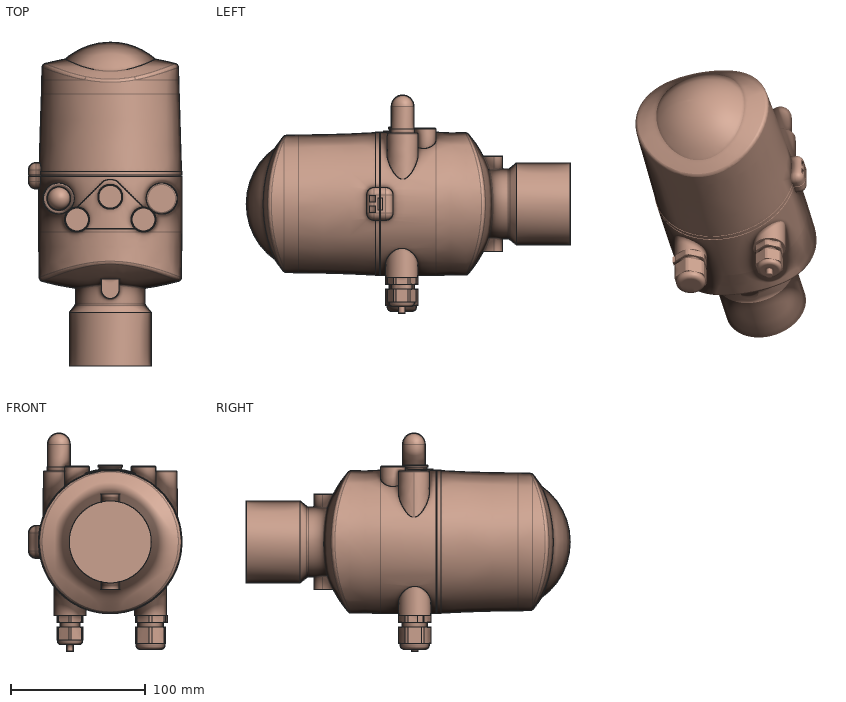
import cadquery as cq
import math


MARGIN = 1.0

OVERALL_WIDTH = 114.12
OVERALL_LENGTH = 240.8
OVERALL_HEIGHT = 162.2

SEAM_RADIUS = 53.35
REAR_SHELL_RADIUS = 53.0
REAR_BAND_RADIUS = 51.3
REAR_RIM_RADIUS = 51.0
REAR_END_RADIUS = 50.4
FRONT_END_RADIUS = 52.7
SEAM_COLLAR_Y = 3.3
REAR_BAND_Y = 60.6
REAR_RIM_Y = 71.3
FRONT_TAPER_Y = -41.7
SEAM_GROOVE_WIDTH = 0.8
SEAM_GROOVE_DEPTH = 0.5

FRONT_CROWN_Y = -85.3
REAR_CROWN_Y = 89.7
CROWN_RADIUS_YZ = 78.6
CROWN_RADIUS_XY = 190.0
CROWN_HALF_HEIGHT = 60.0
RIM_FILLET = 3.0

DOME_RADIUS = 51.0
DOME_APEX_Y = 99.3
DOME_ROOT_Y = 74.0
DOME_MIDDLE_ANGLE = math.radians(30)

NECK_DIAMETER = 52.0
PIPE_DIAMETER = 60.96
PIPE_START_Y = -101.5
CONE_LENGTH = 5.5
PIPE_END_Y = DOME_APEX_Y - OVERALL_LENGTH
NECK_FILLET = 2.0
NECK_ROOT_FILLET = 0.7
LUG_RADIUS = 6.5
LUG_CENTRE_Y = -84.7
LUG_ROOT_Y = -70.0
LUG_HALF_HEIGHT = 35.5

PORT_Y = -16.9
LARGE_PORT_X = 38.2
LARGE_PORT_TOP_RADIUS = 11.4
LARGE_PORT_BASE_RADIUS = 11.95
LARGE_PORT_BASE_Z = 15.0
LARGE_PORT_TOP_Z = 52.8
LARGE_PORT_ROUND = 1.0
SMALL_PORT_DIAMETER = 18.5
SMALL_PORT_X = 24.7
SMALL_PORT_Y = -32.5
SMALL_PORT_TOP_Z = 56.4
SMALL_PORT_BASE_Z = 35.0
SMALL_PORT_CHAMFER = 0.7
CENTRE_PORT_Y = -15.6
CENTRE_PORT_TOP_Z = 57.3
CENTRE_CAP_HEIGHT = 1.6
CENTRE_NECK_DIAMETER = 16.98

ANTENNA_DIAMETER = 17.0
ANTENNA_COLLAR_DIAMETER = 17.6
ANTENNA_COLLAR_TOP_Z = 55.7
ANTENNA_TOP_Z = 80.9

PLATE_RADIUS = SEAM_RADIUS + 1.0
PLATE_APEX_ROUND = 12.8
PLATE_CORNER_ROUND = 7.0
PLATE_EDGE_ROUND = 0.3

ENTRY_X = 29.9
ENTRY_Y = -16.3
ENTRY_DIAMETER = 24.0
ENTRY_ROOT_Z = -25.0
ENTRY_BOTTOM_Z = -54.7
LOCKNUT_BOTTOM_Z = -59.8
GLAND_NUT_TOP_Z = -63.3
CAP_STEP = 0.4

SMALL_GLAND_FLATS = 19.0
SMALL_GLAND_CORNERS = 21.0
SMALL_GLAND_NECK = 15.0
SMALL_GLAND_HEX_BOTTOM_Z = -73.0
SMALL_GLAND_BOTTOM_Z = -76.3
SMALL_GLAND_ROUND = 2.5
PIN_DIAMETER = 5.0
PIN_BOTTOM_Z = ANTENNA_TOP_Z - OVERALL_HEIGHT

LARGE_GLAND_FLATS = 22.2
LARGE_GLAND_CORNERS = 24.4
LARGE_GLAND_NECK = 19.0
LARGE_GLAND_HEX_BOTTOM_Z = -75.5
LARGE_GLAND_BOTTOM_Z = -80.0
LARGE_GLAND_ROUND = 3.5
LOCKNUT_TAB_END_X = 42.4
LOCKNUT_TAB_Y = ENTRY_Y + 4.0
LOCKNUT_TAB_WIDTH = 4.0

LATCH_OUTER_X = SEAM_RADIUS - OVERALL_WIDTH
LATCH_ROOT_X = -45.0
LATCH_WIDTH = 19.6
LATCH_HEIGHT = 24.4
LATCH_ROUND = 5.5
LATCH_POCKET_Y = 5.6
LATCH_POCKET_WIDTH = 4.4
LATCH_POCKET_HEIGHT = 5.0
LATCH_POCKET_Z = 3.9
LATCH_POCKET_DEPTH = 5.0
LATCH_WINDOW_Y = -0.3
LATCH_WINDOW_WIDTH = 3.4
LATCH_WINDOW_HEIGHT = 8.8
LATCH_WINDOW_DEPTH = 0.3


def cylinder_z(x, y, diameter, bottom, top):
    return cq.Workplane("XY", origin=(x, y, bottom)).circle(diameter / 2).extrude(top - bottom)


def revolve_about_y(points):
    """Turn a closed (radius, y) outline around the Y axis."""
    return cq.Workplane("XY").polyline(points).close().revolve(360, (0, 0, 0), (0, 1, 0))


def crown_solid(crown_y, direction):
    """Solid whose end face is curved in both YZ and XY; direction is the outward Y sense."""
    arc_centre_y = crown_y - direction * CROWN_RADIUS_YZ
    pivot_y = crown_y - direction * CROWN_RADIUS_XY
    rise = math.sqrt(CROWN_RADIUS_YZ**2 - CROWN_HALF_HEIGHT**2)
    edge_y = arc_centre_y + direction * rise
    profile = (
        cq.Workplane("YZ")
        .moveTo(pivot_y, -CROWN_HALF_HEIGHT)
        .lineTo(edge_y, -CROWN_HALF_HEIGHT)
        .threePointArc((crown_y, 0), (edge_y, CROWN_HALF_HEIGHT))
        .lineTo(pivot_y, CROWN_HALF_HEIGHT)
        .close()
    )
    return profile.revolve(360, (pivot_y, 0, 0), (pivot_y, 1, 0))


def make_housing():
    half_groove = SEAM_GROOVE_WIDTH / 2
    groove_radius = SEAM_RADIUS - SEAM_GROOVE_DEPTH
    outline = [
        (0, FRONT_CROWN_Y),
        (FRONT_END_RADIUS, FRONT_CROWN_Y),
        (SEAM_RADIUS, FRONT_TAPER_Y),
        (SEAM_RADIUS, SEAM_COLLAR_Y),
        (REAR_SHELL_RADIUS, SEAM_COLLAR_Y),
        (REAR_BAND_RADIUS, REAR_BAND_Y),
        (REAR_RIM_RADIUS, REAR_RIM_Y),
        (REAR_END_RADIUS, REAR_CROWN_Y),
        (0, REAR_CROWN_Y),
    ]
    barrel = revolve_about_y(outline)
    barrel = barrel.intersect(crown_solid(FRONT_CROWN_Y, -1))
    barrel = barrel.intersect(crown_solid(REAR_CROWN_Y, 1))
    barrel = barrel.faces("<Y").edges().fillet(RIM_FILLET)
    barrel = barrel.faces(">Y").edges().fillet(RIM_FILLET)
    groove = revolve_about_y([
        (groove_radius, -half_groove),
        (SEAM_RADIUS + MARGIN, -half_groove),
        (SEAM_RADIUS + MARGIN, half_groove),
        (groove_radius, half_groove),
    ])
    return barrel.cut(groove)


def make_dome():
    """Spherical cap, rooted inside the rear of the housing."""
    depth = DOME_APEX_Y - DOME_ROOT_Y
    root_radius = math.sqrt(DOME_RADIUS**2 - (DOME_RADIUS - depth) ** 2)
    middle_height = DOME_RADIUS * (1 - math.cos(DOME_MIDDLE_ANGLE))
    middle_point = (DOME_RADIUS * math.sin(DOME_MIDDLE_ANGLE), DOME_APEX_Y - middle_height)
    profile = (
        cq.Workplane("XY")
        .moveTo(0, DOME_ROOT_Y)
        .lineTo(root_radius, DOME_ROOT_Y)
        .threePointArc(middle_point, (0, DOME_APEX_Y))
        .close()
    )
    return profile.revolve(360, (0, 0, 0), (0, 1, 0))


def make_pipe():
    """Neck widening through a cone into the pipe."""
    neck_radius = NECK_DIAMETER / 2
    pipe_radius = PIPE_DIAMETER / 2
    neck_end_y = PIPE_START_Y + CONE_LENGTH
    pipe = revolve_about_y([
        (0, LUG_ROOT_Y),
        (neck_radius, LUG_ROOT_Y),
        (neck_radius, neck_end_y),
        (pipe_radius, PIPE_START_Y),
        (pipe_radius, PIPE_END_Y),
        (0, PIPE_END_Y),
    ])
    neck_edge = cq.selectors.BoxSelector(
        (-pipe_radius, neck_end_y - MARGIN, -pipe_radius),
        (pipe_radius, neck_end_y + MARGIN, pipe_radius),
    )
    return pipe.edges(neck_edge).fillet(NECK_FILLET)


def make_lugs():
    """Round-nosed bar through the neck, standing out above and below it."""
    return (
        cq.Workplane("XY", origin=(0, 0, -LUG_HALF_HEIGHT))
        .moveTo(-LUG_RADIUS, LUG_ROOT_Y)
        .lineTo(-LUG_RADIUS, LUG_CENTRE_Y)
        .threePointArc((0, LUG_CENTRE_Y - LUG_RADIUS), (LUG_RADIUS, LUG_CENTRE_Y))
        .lineTo(LUG_RADIUS, LUG_ROOT_Y)
        .close()
        .extrude(2 * LUG_HALF_HEIGHT)
    )


def make_large_port(x):
    """Slightly tapered boss with a rounded top edge."""
    height = LARGE_PORT_TOP_Z - LARGE_PORT_BASE_Z
    taper = math.degrees(math.atan2(LARGE_PORT_BASE_RADIUS - LARGE_PORT_TOP_RADIUS, height))
    return (
        cq.Workplane("XY", origin=(x, PORT_Y, LARGE_PORT_BASE_Z))
        .circle(LARGE_PORT_BASE_RADIUS)
        .extrude(height, taper=taper)
        .faces(">Z")
        .edges()
        .fillet(LARGE_PORT_ROUND)
    )


def make_small_port(x):
    port = cylinder_z(x, SMALL_PORT_Y, SMALL_PORT_DIAMETER, SMALL_PORT_BASE_Z, SMALL_PORT_TOP_Z)
    return port.faces(">Z").edges().chamfer(SMALL_PORT_CHAMFER)


def make_centre_port():
    cap_bottom = CENTRE_PORT_TOP_Z - CENTRE_CAP_HEIGHT
    neck = cylinder_z(0, CENTRE_PORT_Y, CENTRE_NECK_DIAMETER, SMALL_PORT_BASE_Z, cap_bottom)
    cap = cylinder_z(0, CENTRE_PORT_Y, SMALL_PORT_DIAMETER, cap_bottom, CENTRE_PORT_TOP_Z)
    return neck.union(cap.faces(">Z").edges().chamfer(SMALL_PORT_CHAMFER))


def make_antenna():
    antenna_radius = ANTENNA_DIAMETER / 2
    root_z = LARGE_PORT_BASE_Z
    collar = cylinder_z(-LARGE_PORT_X, PORT_Y, ANTENNA_COLLAR_DIAMETER, root_z, ANTENNA_COLLAR_TOP_Z)
    rod_top = ANTENNA_TOP_Z - antenna_radius
    rod = cylinder_z(-LARGE_PORT_X, PORT_Y, ANTENNA_DIAMETER, root_z, rod_top)
    tip = cq.Workplane("XY").sphere(antenna_radius).translate((-LARGE_PORT_X, PORT_Y, rod_top))
    return collar.union(rod).union(tip)


def make_port_plate():
    """Rounded triangle around the three smaller ports, following the barrel's curve."""
    rise = CENTRE_PORT_Y - SMALL_PORT_Y
    leg_length = math.hypot(SMALL_PORT_X, rise)
    lean = math.asin((PLATE_APEX_ROUND - PLATE_CORNER_ROUND) / leg_length)
    normal_angle = math.atan2(SMALL_PORT_X, rise) + lean
    across = math.cos(normal_angle)
    along = math.sin(normal_angle)
    corner_mid = (normal_angle - math.pi / 2) / 2
    apex_x = PLATE_APEX_ROUND * across
    apex_y = CENTRE_PORT_Y + PLATE_APEX_ROUND * along
    corner_x = SMALL_PORT_X + PLATE_CORNER_ROUND * across
    corner_y = SMALL_PORT_Y + PLATE_CORNER_ROUND * along
    bulge_x = SMALL_PORT_X + PLATE_CORNER_ROUND * math.cos(corner_mid)
    bulge_y = SMALL_PORT_Y + PLATE_CORNER_ROUND * math.sin(corner_mid)
    base_y = SMALL_PORT_Y - PLATE_CORNER_ROUND
    prism = (
        cq.Workplane("XY", origin=(0, 0, SMALL_PORT_BASE_Z))
        .moveTo(-SMALL_PORT_X, base_y)
        .lineTo(SMALL_PORT_X, base_y)
        .threePointArc((bulge_x, bulge_y), (corner_x, corner_y))
        .lineTo(apex_x, apex_y)
        .threePointArc((0, CENTRE_PORT_Y + PLATE_APEX_ROUND), (-apex_x, apex_y))
        .lineTo(-corner_x, corner_y)
        .threePointArc((-bulge_x, bulge_y), (-SMALL_PORT_X, base_y))
        .close()
        .extrude(PLATE_RADIUS)
    )
    skin = cq.Workplane("XZ").circle(PLATE_RADIUS).extrude(SEAM_RADIUS)
    plate = prism.intersect(skin)
    return plate.faces(">Z").edges().fillet(PLATE_EDGE_ROUND)


def hex_nut(x, flats, corners, bottom, top):
    """Hexagon with corners toward +-Y, its corners trimmed by a round blank."""
    blank = cylinder_z(x, ENTRY_Y, corners, bottom, top)
    hexagon = (
        cq.Workplane("XY", origin=(x, ENTRY_Y, bottom))
        .transformed(rotate=(0, 0, 90))
        .polygon(6, flats / math.cos(math.pi / 6))
        .extrude(top - bottom)
    )
    return blank.intersect(hexagon)


def make_cable_entry(x, flats, corners, neck, hex_bottom, bottom, bottom_round):
    entry = cylinder_z(x, ENTRY_Y, ENTRY_DIAMETER, ENTRY_BOTTOM_Z, ENTRY_ROOT_Z)
    locknut = hex_nut(x, flats, corners, LOCKNUT_BOTTOM_Z, ENTRY_BOTTOM_Z)
    gland_neck = cylinder_z(x, ENTRY_Y, neck, GLAND_NUT_TOP_Z, LOCKNUT_BOTTOM_Z)
    cap_nut = hex_nut(x, flats, corners, hex_bottom, GLAND_NUT_TOP_Z)
    cap = cylinder_z(x, ENTRY_Y, flats - CAP_STEP, bottom, hex_bottom)
    cap = cap.faces("<Z").edges().fillet(bottom_round)
    return entry.union(locknut).union(gland_neck).union(cap_nut).union(cap)


def make_locknut_tab():
    """Small tab on the +X flat of the large gland's locknut."""
    length = LOCKNUT_TAB_END_X - ENTRY_X
    height = ENTRY_BOTTOM_Z - LOCKNUT_BOTTOM_Z
    tab = cq.Workplane("XY").box(length, LOCKNUT_TAB_WIDTH, height)
    return tab.translate((ENTRY_X + length / 2, LOCKNUT_TAB_Y, LOCKNUT_BOTTOM_Z + height / 2))


def latch_block(inset):
    """Rounded latch body, shrunk by the inset on every exposed side."""
    depth = LATCH_ROOT_X - LATCH_OUTER_X - inset
    block = cq.Workplane("XY").box(depth, LATCH_WIDTH - 2 * inset, LATCH_HEIGHT - 2 * inset)
    block = block.edges("|X or <X").fillet(LATCH_ROUND - inset)
    return block.translate((LATCH_ROOT_X - depth / 2, 0, 0))


def make_latch():
    latch = latch_block(0)
    face = cq.Workplane("YZ", origin=(LATCH_OUTER_X, 0, 0))
    pockets = (
        face.pushPoints([(LATCH_POCKET_Y, LATCH_POCKET_Z), (LATCH_POCKET_Y, -LATCH_POCKET_Z)])
        .rect(LATCH_POCKET_WIDTH, LATCH_POCKET_HEIGHT)
        .extrude(LATCH_POCKET_DEPTH)
    )
    window = (
        face.center(LATCH_WINDOW_Y, 0)
        .rect(LATCH_WINDOW_WIDTH, LATCH_WINDOW_HEIGHT)
        .extrude(LATCH_WINDOW_DEPTH)
    )
    slab = face.rect(SEAM_GROOVE_WIDTH, LATCH_HEIGHT).extrude(LATCH_ROOT_X - LATCH_OUTER_X)
    parting = slab.cut(latch_block(SEAM_GROOVE_DEPTH))
    return latch.cut(pockets).cut(window).cut(parting)


def make_front_end():
    """Housing with its pipe and lugs, the neck blended into the front face."""
    reach = LUG_HALF_HEIGHT - MARGIN
    body = make_housing().union(make_pipe()).union(make_lugs())
    root_edges = cq.selectors.BoxSelector(
        (-reach, LUG_CENTRE_Y - LUG_RADIUS - MARGIN, -reach),
        (reach, LUG_ROOT_Y - MARGIN, reach),
    )
    return body.edges(root_edges).edges("not |Z").fillet(NECK_ROOT_FILLET)


result = make_front_end().union(make_dome())
result = result.union(make_port_plate())
for side in (-1, 1):
    result = result.union(make_large_port(side * LARGE_PORT_X))
    result = result.union(make_small_port(side * SMALL_PORT_X))
result = result.union(make_centre_port()).union(make_antenna())
result = result.union(
    make_cable_entry(
        -ENTRY_X, SMALL_GLAND_FLATS, SMALL_GLAND_CORNERS, SMALL_GLAND_NECK,
        SMALL_GLAND_HEX_BOTTOM_Z, SMALL_GLAND_BOTTOM_Z, SMALL_GLAND_ROUND,
    )
)
result = result.union(cylinder_z(-ENTRY_X, ENTRY_Y, PIN_DIAMETER, PIN_BOTTOM_Z, GLAND_NUT_TOP_Z))
result = result.union(
    make_cable_entry(
        ENTRY_X, LARGE_GLAND_FLATS, LARGE_GLAND_CORNERS, LARGE_GLAND_NECK,
        LARGE_GLAND_HEX_BOTTOM_Z, LARGE_GLAND_BOTTOM_Z, LARGE_GLAND_ROUND,
    )
)
result = result.union(make_locknut_tab()).union(make_latch())